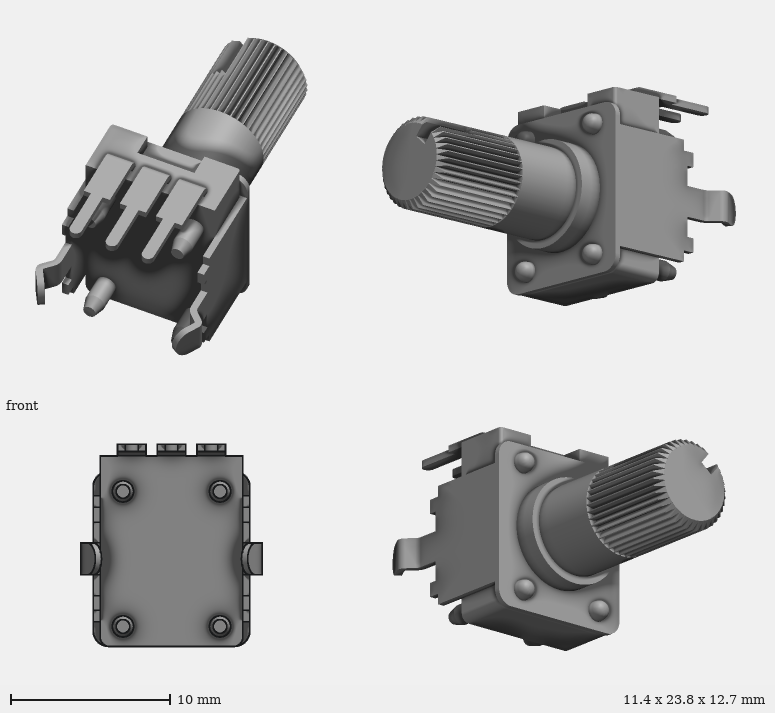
import cadquery as cq
import math


shaft_r = 2.98
shaft_tip_y = 13.2
knurl_start_y = 6.2
tip_chamfer = 0.5
tooth_count = 40
groove_width = 0.4
groove_root_r = 2.43
slot_width = 1.02
slot_floor_r = 1.55
slot_end_y = 9.73
slot_angle = 130.0

plate_half_x = 4.93
plate_half_z = 5.5
plate_t = 0.38
plate_corner_r = 1.0
bushing_r = 3.5
bushing_len = 1.57
wall_t = 0.45
wall_half_z = 3.95
wall_end_y = -5.95
wall_mid_end_y = -6.24
foot_end_y = -6.75
foot_inner_z = 2.3
foot_outer_z = 3.24
inner_bend_r = 0.21

leg_half_z = 1.0
leg_bend_y = -7.66
leg_out_angle = 45
leg_in_angle = 30
leg_bend_1_r = 0.43
leg_bend_2_r = 0.52
leg_slant_len = 0.71
leg_tip_straight = 0.71

housing_half_x = plate_half_x - wall_t
housing_top_z = 6.47
housing_bottom_z = -plate_half_z
housing_front_y = -plate_t
housing_back_y = -4.2
housing_bottom_r = 0.57
notch_width = 3.95
notch_depth_y = 1.5
notch_floor_z = plate_half_z

terminal_count = 3
terminal_pitch = 2.5
terminal_t = 0.45
terminal_top_z = 7.2
terminal_foot_y = -2.98
terminal_bend_r = 0.65
terminal_shoulder_y = -6.75
terminal_tip_y = -10.23
terminal_wide = 1.8
terminal_narrow = 0.8

rivet_r = 0.67
rivet_x = 3.05
rivet_z = 4.24
rivet_head_y = 0.85
rivet_taper_y = -5.88
rivet_tip_y = -6.69
rivet_tip_r = 0.43
rivet_places = [(x, z) for x in (-rivet_x, rivet_x) for z in (-rivet_z, rivet_z)]


def block(x0, x1, y0, y1, z0, z1):
    """Box between two opposite corners."""
    return cq.Workplane("XY").box(x1 - x0, y1 - y0, z1 - z0, centered=False).translate((x0, y0, z0))


def section_at(y):
    """Plane across the shaft at height y, with local x = X, local y = Z and extrusion towards -Y."""
    return cq.Workplane("XZ", origin=(0, y, 0))


def turn_about_axis(body, angle):
    """Turn a body about the shaft axis, from +X towards +Z."""
    return body.rotate((0, 0, 0), (0, 1, 0), -angle)


def cut_rivet_holes(body):
    """Clear a straight hole for each rivet shank."""
    hole_len = -housing_back_y
    return body.cut(section_at(0).pushPoints(rivet_places).circle(rivet_r).extrude(hole_len))


def make_shaft():
    """Knurled shaft with a chamfered tip and a screwdriver slot on one side."""
    shaft = (
        section_at(shaft_tip_y)
        .circle(shaft_r)
        .extrude(shaft_tip_y - housing_front_y)
        .faces(">Y")
        .chamfer(tip_chamfer)
    )

    mouth_r = 2 * shaft_r - groove_root_r
    groove = (
        section_at(shaft_tip_y)
        .polyline([(groove_root_r, 0), (mouth_r, groove_width), (mouth_r, -groove_width)])
        .close()
        .extrude(shaft_tip_y - knurl_start_y)
    )
    grooves = [turn_about_axis(groove, i * 360 / tooth_count).val() for i in range(tooth_count)]
    shaft = shaft.cut(cq.Workplane(cq.Compound.makeCompound(grooves)))

    slot = block(slot_floor_r, shaft_r, slot_end_y, shaft_tip_y, -slot_width / 2, slot_width / 2)
    return shaft.cut(turn_about_axis(slot, slot_angle))


def make_wall():
    """Bracket wall on the +X side, with two feet and a root for the snap leg."""
    upper_edge = [
        (-plate_t, wall_half_z),
        (wall_end_y, wall_half_z),
        (wall_end_y, foot_outer_z),
        (foot_end_y, foot_outer_z),
        (foot_end_y, foot_inner_z),
        (wall_mid_end_y, foot_inner_z),
        (wall_mid_end_y, leg_half_z),
        (leg_bend_y, leg_half_z),
    ]
    lower_edge = [(y, -z) for y, z in reversed(upper_edge)]
    return (
        cq.Workplane("YZ", origin=(housing_half_x, 0, 0))
        .polyline(upper_edge + lower_edge)
        .close()
        .extrude(wall_t)
    )


def make_corner_fillet():
    """Concave fillet between the plate and the wall on the +X side."""
    r = inner_bend_r
    middle = r * (1 - math.sqrt(0.5))
    return (
        cq.Workplane("XY", origin=(housing_half_x, -plate_t, -wall_half_z))
        .lineTo(0, -r)
        .threePointArc((-middle, -middle), (-r, 0))
        .close()
        .extrude(2 * wall_half_z)
    )


def lean_vector(angle):
    """Unit normal of a leg face where the leg leans outwards by angle degrees."""
    return cq.Vector(math.cos(math.radians(angle)), math.sin(math.radians(angle)), 0)


def make_leg():
    """Snap leg on the +X side: bent outwards, then back inwards to a rounded tip."""
    slant_normal = lean_vector(leg_out_angle)
    slant_heading = cq.Vector(slant_normal.y, -slant_normal.x, 0)
    centre_1 = cq.Vector(plate_half_x + leg_bend_1_r, leg_bend_y, 0)
    centre_2 = centre_1 + slant_heading * leg_slant_len - slant_normal * (leg_bend_1_r + leg_bend_2_r)

    def face_points(depth):
        """Points along the leg face that lies depth below the outer face."""
        bend_1 = [
            centre_1 - lean_vector(angle) * (leg_bend_1_r + depth)
            for angle in (0, leg_out_angle / 2, leg_out_angle)
        ]
        bend_2 = [
            centre_2 + lean_vector(angle) * (leg_bend_2_r - depth)
            for angle in (leg_out_angle, (leg_out_angle - leg_in_angle) / 2, -leg_in_angle)
        ]
        return [(point.x, point.y) for point in bend_1 + bend_2]

    outer = face_points(0)
    inner = face_points(wall_t)
    bends = (
        cq.Workplane("XY", origin=(0, 0, -leg_half_z))
        .moveTo(*outer[0])
        .threePointArc(outer[1], outer[2])
        .lineTo(*outer[3])
        .threePointArc(outer[4], outer[5])
        .lineTo(*inner[5])
        .threePointArc(inner[4], inner[3])
        .lineTo(*inner[2])
        .threePointArc(inner[1], inner[0])
        .close()
        .extrude(2 * leg_half_z)
    )

    tip_normal = lean_vector(-leg_in_angle)
    tip_heading = cq.Vector(tip_normal.y, -tip_normal.x, 0)
    tip_plane = cq.Plane(origin=inner[5], xDir=tip_heading, normal=tip_normal)
    tip = (
        cq.Workplane(tip_plane)
        .moveTo(0, -leg_half_z)
        .lineTo(leg_tip_straight, -leg_half_z)
        .threePointArc((leg_tip_straight + leg_half_z, 0), (leg_tip_straight, leg_half_z))
        .lineTo(0, leg_half_z)
        .close()
        .extrude(wall_t)
    )
    return bends.union(tip)


def make_bracket():
    """Sheet bracket: plate with bushing, and a wall with a snap leg on each side."""
    plate = (
        section_at(0)
        .rect(2 * plate_half_x, 2 * plate_half_z)
        .extrude(plate_t)
        .edges("|Y")
        .fillet(plate_corner_r)
    )
    bushing = section_at(bushing_len).circle(bushing_r).extrude(bushing_len)
    side = make_wall().union(make_corner_fillet()).union(make_leg())
    bracket = plate.union(bushing).union(side).union(side.mirror("YZ"))

    shaft_hole = section_at(bushing_len).circle(shaft_r).extrude(bushing_len + plate_t)
    return cut_rivet_holes(bracket.cut(shaft_hole))


def make_housing():
    """Block behind the plate, with a notch in the middle of its top front edge."""
    housing = (
        block(
            -housing_half_x, housing_half_x,
            housing_back_y, housing_front_y,
            housing_bottom_z, housing_top_z,
        )
        .edges("|Y and <Z")
        .fillet(housing_bottom_r)
        .edges("|Z and >Y")
        .fillet(inner_bend_r)
    )
    notch = block(
        -notch_width / 2, notch_width / 2,
        housing_front_y - notch_depth_y, housing_front_y,
        notch_floor_z, housing_top_z,
    )
    return cut_rivet_holes(housing.cut(notch))


def make_terminal(x):
    """Terminal that rises from the housing top, bends back and narrows to a rounded end."""
    side_outline = (
        cq.Workplane("YZ", origin=(x - terminal_wide / 2, 0, 0))
        .moveTo(terminal_foot_y, housing_top_z)
        .lineTo(terminal_foot_y, terminal_top_z)
        .lineTo(terminal_tip_y, terminal_top_z)
        .lineTo(terminal_tip_y, terminal_top_z - terminal_t)
        .lineTo(terminal_foot_y - terminal_t, terminal_top_z - terminal_t)
        .lineTo(terminal_foot_y - terminal_t, housing_top_z)
        .close()
    )
    strip = (
        side_outline.extrude(terminal_wide)
        .edges("|X and >Y and >Z")
        .fillet(terminal_bend_r)
        .edges(cq.selectors.NearestToPointSelector(
            (x, terminal_foot_y - terminal_t, terminal_top_z - terminal_t)
        ))
        .fillet(terminal_bend_r - terminal_t)
    )

    end_r = terminal_narrow / 2
    end_straight_y = terminal_tip_y + end_r
    blade = (
        cq.Workplane("XY", origin=(x, 0, housing_top_z))
        .moveTo(-terminal_wide / 2, terminal_foot_y)
        .lineTo(-terminal_wide / 2, terminal_shoulder_y)
        .lineTo(-end_r, terminal_shoulder_y)
        .lineTo(-end_r, end_straight_y)
        .threePointArc((0, terminal_tip_y), (end_r, end_straight_y))
        .lineTo(end_r, terminal_shoulder_y)
        .lineTo(terminal_wide / 2, terminal_shoulder_y)
        .lineTo(terminal_wide / 2, terminal_foot_y)
        .close()
        .extrude(terminal_top_z - housing_top_z)
    )
    return strip.intersect(blade)


def make_rivet(x, z):
    """Rivet with a round head in front of the plate and a tapered end behind the housing."""
    return (
        cq.Workplane("YZ")
        .moveTo(rivet_tip_y, 0)
        .lineTo(rivet_tip_y, rivet_tip_r)
        .lineTo(rivet_taper_y, rivet_r)
        .lineTo(0, rivet_r)
        .spline([(rivet_head_y, 0)], tangents=[(1, 0), (0, -1)], includeCurrent=True)
        .close()
        .revolve(360, (0, 0), (1, 0))
        .translate((x, 0, z))
    )


shaft = make_shaft()
bracket = make_bracket()
housing = make_housing()
terminals = [
    make_terminal((i - (terminal_count - 1) / 2) * terminal_pitch) for i in range(terminal_count)
]
rivets = [make_rivet(x, z) for x, z in rivet_places]

result = cq.Compound.makeCompound(
    [
        shaft.val(),
        bracket.val(),
        housing.val(),
        *[terminal.val() for terminal in terminals],
        *[rivet.val() for rivet in rivets],
    ]
)